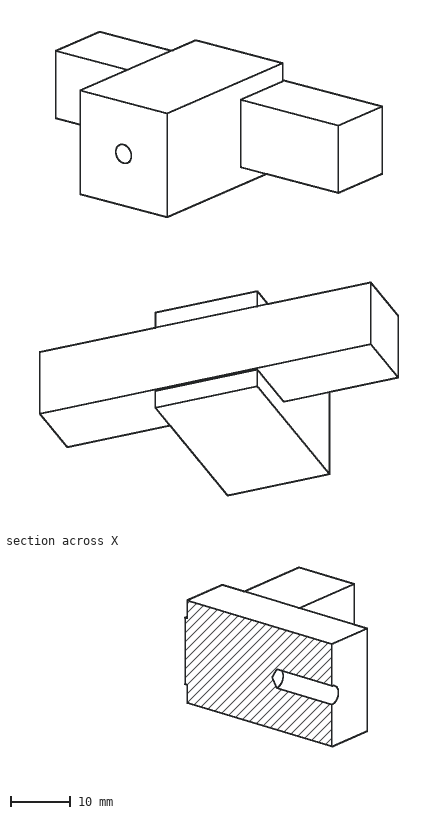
import cadquery as cq
import math

bar_length = 60.0
bar_side = 12.0

stem_side = 18.5
stem_length = 31.5
bar_overhang = 0.5

hole_diameter = 3.3
hole_depth = 12.0
drill_point_angle = 118.0

bar_rear = stem_length + bar_overhang
bar_centre_y = bar_rear - bar_side / 2


def make_bar():
    return cq.Workplane("XY").box(bar_length, bar_side, bar_side).translate((0, bar_centre_y, 0))


def make_stem():
    return cq.Workplane("XY").box(stem_side, stem_length, stem_side).translate((0, stem_length / 2, 0))


def make_drilled_hole():
    """Cylinder with a conical end, revolved about the Y axis."""
    radius = hole_diameter / 2
    point_length = radius / math.tan(math.radians(drill_point_angle / 2))
    return (
        cq.Workplane("XY")
        .moveTo(0, 0)
        .lineTo(radius, 0)
        .lineTo(radius, hole_depth)
        .lineTo(0, hole_depth + point_length)
        .close()
        .revolve(360, (0, 0, 0), (0, 1, 0))
    )


result = make_stem().union(make_bar()).cut(make_drilled_hole())